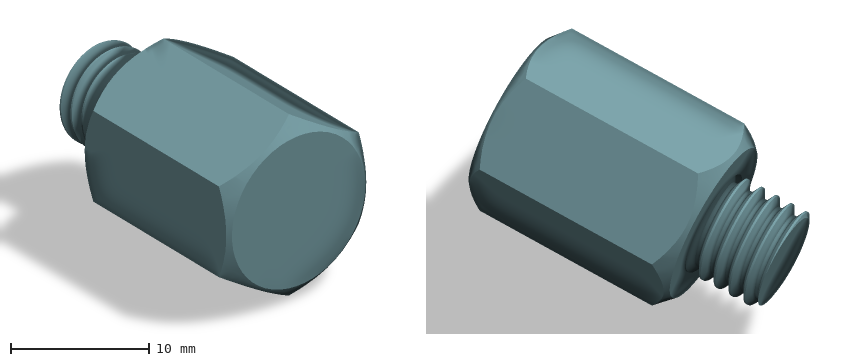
import cadquery as cq
import math

total_length = 23.0
stud_length = 6.0
body_length = total_length - stud_length

across_flats = 13.0
across_corners = across_flats / math.cos(math.radians(30))
end_face_diameter = 12.37
chamfer_depth = (across_corners - end_face_diameter) / 2
stud_end_chamfer_length = chamfer_depth
far_end_chamfer_length = 1.13

thread_diameter = 8.0
core_diameter = 6.65
pitch = thread_diameter * 1.25 / 8
crest_width = pitch / 8
flank_half_angle = 30.0
first_crest_x = 0.07

recess_depth = pitch
recess_diameter = thread_diameter + 0.02
threaded_length = stud_length + recess_depth
root_overlap = 0.05


def make_body():
    """Hexagonal prism with conically chamfered corners at both ends."""
    hexagon = (
        cq.Workplane("YZ", origin=(stud_length, 0, 0))
        .polygon(6, across_corners)
        .extrude(body_length)
        .rotate((0, 0, 0), (1, 0, 0), 90)
    )
    end_radius = end_face_diameter / 2
    corner_radius = across_corners / 2
    envelope = (
        cq.Workplane("XY")
        .moveTo(stud_length, 0)
        .lineTo(stud_length, end_radius)
        .lineTo(stud_length + stud_end_chamfer_length, corner_radius)
        .lineTo(total_length - far_end_chamfer_length, corner_radius)
        .lineTo(total_length, end_radius)
        .lineTo(total_length, 0)
        .close()
        .revolve(360, (0, 0, 0), (1, 0, 0))
    )
    return hexagon.intersect(envelope)


def make_thread_ridge():
    """Helical ridge about the X axis, running past both ends of the threaded length."""
    root_radius = core_diameter / 2 - root_overlap
    crest_radius = thread_diameter / 2
    flank_width = (crest_radius - root_radius) * math.tan(math.radians(flank_half_angle))
    half_crest = crest_width / 2
    half_root = half_crest + flank_width
    turns = math.ceil(threaded_length / pitch) + 2

    path = cq.Wire.makeHelix(pitch, turns * pitch, root_radius)
    return (
        cq.Workplane("XZ")
        .polyline([
            (root_radius, -half_root),
            (crest_radius, -half_crest),
            (crest_radius, half_crest),
            (root_radius, half_root),
        ])
        .close()
        .sweep(cq.Workplane(obj=path), isFrenet=True)
        .rotate((0, 0, 0), (0, 1, 0), 90)
        .rotate((0, 0, 0), (1, 0, 0), 180)
        .translate((first_crest_x - pitch, 0, 0))
    )


def make_stud():
    """Core cylinder and thread ridge, cut square at both ends."""
    core = cq.Workplane("YZ").circle(core_diameter / 2).extrude(threaded_length)
    bounds = cq.Workplane("YZ").circle(thread_diameter).extrude(threaded_length)
    return core.union(make_thread_ridge().intersect(bounds))


def make_recess():
    """Round recess sunk into the stud-end face of the body."""
    return (
        cq.Workplane("YZ", origin=(stud_length, 0, 0))
        .circle(recess_diameter / 2)
        .extrude(recess_depth)
    )


result = make_body().cut(make_recess()).union(make_stud())